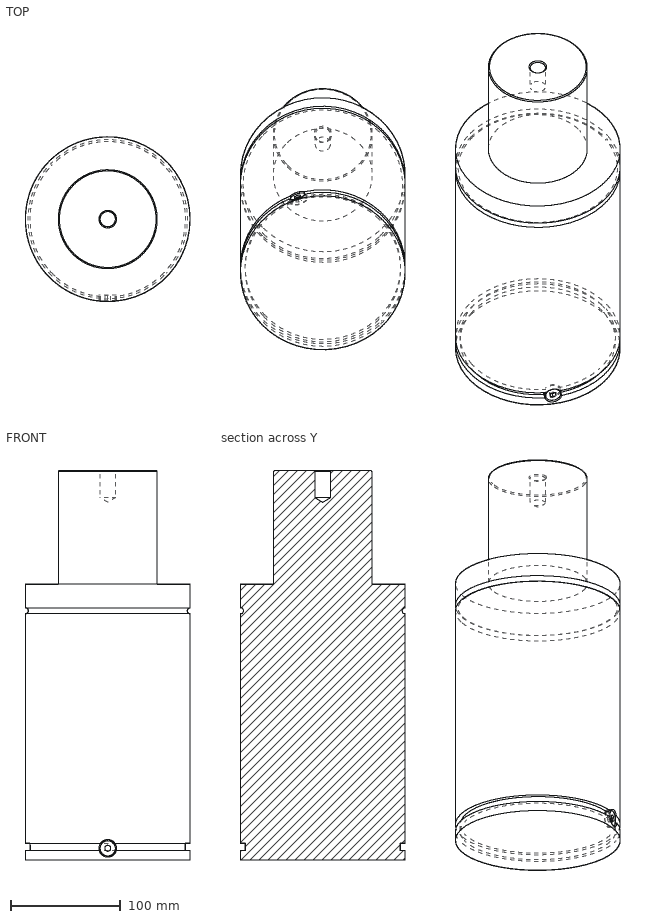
import cadquery as cq
import math

TOTAL_HEIGHT = 355.0
BODY_RADIUS = 150.0 / 2
BODY_HEIGHT = 251.5
ROD_RADIUS = 90.0 / 2
ROD_CHAMFER = 1.0

BASE_GROOVE_BOTTOM = 9.0
BASE_GROOVE_TOP = 15.3
BASE_GROOVE_RADIUS = BODY_RADIUS - 4.3

CAP_GROOVE_BOTTOM = 224.5
CAP_GROOVE_TOP = 229.7
CAP_GROOVE_DEPTH = 2.5

ROD_HOLE_DIAMETER = 14.0
ROD_HOLE_MOUTH_DIAMETER = 16.0
ROD_HOLE_DEPTH = 25.0
DRILL_POINT_ANGLE = 118

PORT_HEIGHT = 10.5
PORT_DIAMETER = 16.0
PORT_FLOOR_RADIUS = BASE_GROOVE_RADIUS - 1.8
PLUG_DIAMETER = 14.0
PLUG_FACE_RADIUS = BODY_RADIUS - 1.0
SOCKET_ACROSS_CORNERS = 6.0
SOCKET_DEPTH = 4.3


def make_cylinder_and_rod():
    """Revolve the stepped outline of the body and the rod about Z."""
    cap_groove_middle = (CAP_GROOVE_BOTTOM + CAP_GROOVE_TOP) / 2
    cap_groove_radius = BODY_RADIUS - CAP_GROOVE_DEPTH
    return (
        cq.Workplane("XZ")
        .moveTo(0, 0)
        .lineTo(BODY_RADIUS, 0)
        .lineTo(BODY_RADIUS, BASE_GROOVE_BOTTOM)
        .lineTo(BASE_GROOVE_RADIUS, BASE_GROOVE_BOTTOM)
        .lineTo(BASE_GROOVE_RADIUS, BASE_GROOVE_TOP)
        .lineTo(BODY_RADIUS, BASE_GROOVE_TOP)
        .lineTo(BODY_RADIUS, CAP_GROOVE_BOTTOM)
        .threePointArc((cap_groove_radius, cap_groove_middle), (BODY_RADIUS, CAP_GROOVE_TOP))
        .lineTo(BODY_RADIUS, BODY_HEIGHT)
        .lineTo(ROD_RADIUS, BODY_HEIGHT)
        .lineTo(ROD_RADIUS, TOTAL_HEIGHT - ROD_CHAMFER)
        .lineTo(ROD_RADIUS - ROD_CHAMFER, TOTAL_HEIGHT)
        .lineTo(0, TOTAL_HEIGHT)
        .close()
        .revolve(360, (0, 0, 0), (0, 1, 0))
    )


def make_rod_hole():
    """Blind hole with a drill point and a 45 degree countersunk mouth."""
    radius = ROD_HOLE_DIAMETER / 2
    mouth_radius = ROD_HOLE_MOUTH_DIAMETER / 2
    mouth_bottom = TOTAL_HEIGHT - (mouth_radius - radius)
    hole_bottom = TOTAL_HEIGHT - ROD_HOLE_DEPTH
    point_depth = radius / math.tan(math.radians(DRILL_POINT_ANGLE / 2))
    return (
        cq.Workplane("XZ")
        .moveTo(0, TOTAL_HEIGHT)
        .lineTo(mouth_radius, TOTAL_HEIGHT)
        .lineTo(radius, mouth_bottom)
        .lineTo(radius, hole_bottom)
        .lineTo(0, hole_bottom - point_depth)
        .close()
        .revolve(360, (0, 0, 0), (0, 1, 0))
    )


def port_plane(distance):
    """Plane facing -Y, centred on the filling port at a distance from the body axis."""
    return cq.Workplane("XZ", origin=(0, -distance, PORT_HEIGHT))


def make_port():
    """Round recess from outside the body to the port floor."""
    return port_plane(PORT_FLOOR_RADIUS).circle(PORT_DIAMETER / 2).extrude(BODY_RADIUS - PORT_FLOOR_RADIUS)


def make_plug():
    """Round plug standing on the port floor, with a hexagon socket in its face."""
    plug = (
        port_plane(PORT_FLOOR_RADIUS)
        .circle(PLUG_DIAMETER / 2)
        .extrude(PLUG_FACE_RADIUS - PORT_FLOOR_RADIUS)
    )
    socket = (
        port_plane(PLUG_FACE_RADIUS - SOCKET_DEPTH)
        .transformed(rotate=(0, 0, 90))
        .polygon(6, SOCKET_ACROSS_CORNERS)
        .extrude(SOCKET_DEPTH)
    )
    return plug.cut(socket)


result = make_cylinder_and_rod().cut(make_rod_hole()).cut(make_port()).union(make_plug())